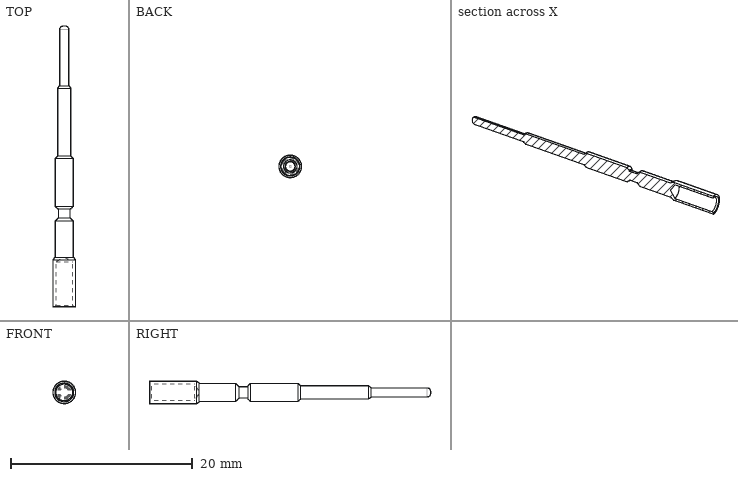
import cadquery as cq
import math

socket_diameter = 2.5
body_diameter = 2.0
shaft_diameter = 1.48
neck_diameter = 1.27
tip_diameter = 1.02

socket_end = 5.45
neck_start = 9.8
neck_end = 10.78
body_end = 16.6
shaft_end = 24.32
total_length = 30.9

bevel_length = 0.28
body_bevel_depth = 0.28
neck_bevel = 0.35
shallow_bevel_depth = 0.2
tip_round = 0.4

bore_diameter = 1.82
bore_depth = 4.95
drill_point_angle = 118
mouth_bevel_length = 0.2
mouth_bevel_depth = 0.12


def revolve_about_axis(profile):
    """Solid of revolution around Y from (radius, station) points."""
    return cq.Workplane("XY").polyline(profile).close().revolve(360, (0, 0, 0), (0, 1, 0))


def turned_section(diameter, start, end, start_bevel=(0, 0), end_bevel=(0, 0)):
    """Round section between two stations; each bevel is (length, depth)."""
    radius = diameter / 2
    profile = [(0, start)]
    if start_bevel[0] > 0:
        profile.append((radius - start_bevel[1], start))
    profile.append((radius, start + start_bevel[0]))
    profile.append((radius, end - end_bevel[0]))
    if end_bevel[0] > 0:
        profile.append((radius - end_bevel[1], end))
    profile.append((0, end))
    return revolve_about_axis(profile)


def drilled_bore():
    """Bore with a conical drill point and a bevelled mouth."""
    radius = bore_diameter / 2
    point_length = radius / math.tan(math.radians(drill_point_angle / 2))
    return revolve_about_axis([
        (0, 0),
        (radius + mouth_bevel_depth, 0),
        (radius, mouth_bevel_length),
        (radius, bore_depth),
        (0, bore_depth + point_length),
    ])


body_bevel = (bevel_length, body_bevel_depth)
shallow_bevel = (bevel_length, shallow_bevel_depth)

socket = turned_section(socket_diameter, 0, socket_end, end_bevel=shallow_bevel)
front_body = turned_section(body_diameter, socket_end, neck_start, end_bevel=(neck_bevel, neck_bevel))
neck = turned_section(neck_diameter, neck_start, neck_end)
rear_body = turned_section(body_diameter, neck_end, body_end, body_bevel, body_bevel)
shaft = turned_section(shaft_diameter, body_end, shaft_end, end_bevel=shallow_bevel)
tip = turned_section(tip_diameter, shaft_end, total_length).faces(">Y").edges().fillet(tip_round)

result = socket
for section in (front_body, neck, rear_body, shaft, tip):
    result = result.union(section)
result = result.cut(drilled_bore())